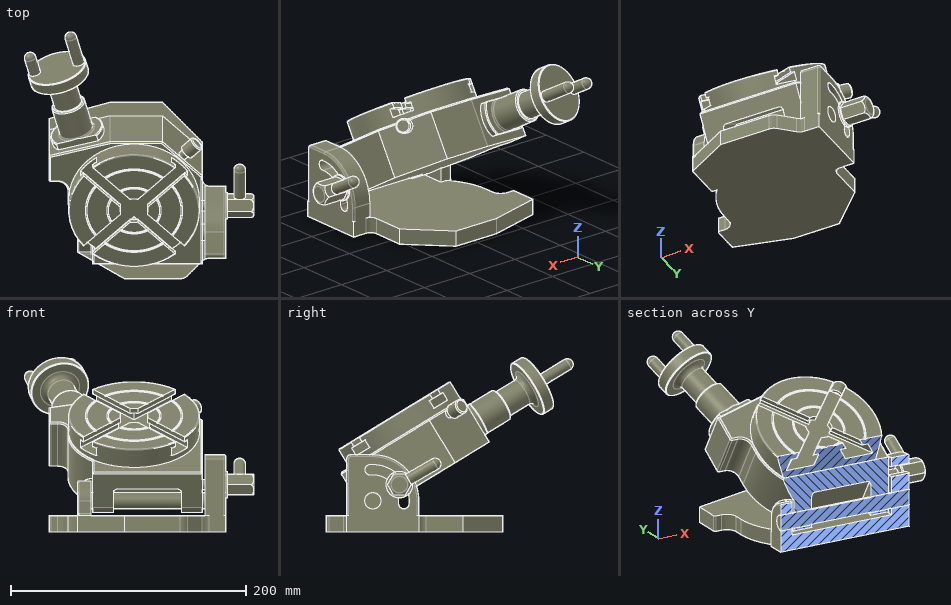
import cadquery as cq
import math

TILT = 31.35
HINGE_Z = 26.7
HINGE_RADIUS = 7.0

REAR_Y = 110.6
REAR_LEFT_X = -20.4
REAR_RIGHT_X = 24.1
LEFT_X = -72.2
RIGHT_X = 58.1
WORM_FACE_ANGLE = 15
BLOCK_FRONT_Y = 71.0
BLOCK_FILLET = 9.0
BLOCK_EDGE = 1.5
CENTER_Y = 53.3
TABLE_RADIUS = 55.6
WALL_RADIUS = 56.3

PLATE_TOP = 14.0
PLATE_FRONT_Y = -39.7
PLATE_FRONT_LEFT_X = -8.0
PLATE_CORNER = 8.8
LEFT_EAR_X = -47.9
LEFT_EAR_THICK = 11.3
LEFT_EAR_RADIUS = 17.0
LEFT_EAR_ROUND = 1.3
LEFT_EAR_FOOT = 1.7
RIGHT_EAR_X = 60.2
RIGHT_EAR_THICK = 17.8
RIGHT_EAR_RADIUS = 39.3
RIGHT_EAR_FRONT_Y = -22.3
RIGHT_EAR_CORNER = 3.5
RIGHT_EAR_ROUND = 1.7
EAR_REAR_FILLET = 6.0
SLOT_OVERRUN = 5

HOUSING_TOP = 34.6
HOUSING_BOTTOM = -8.8
HOUSING_FRONT_Y = -11.1
HOUSING_FRONT_X = -35.3
HOUSING_EDGE = 1.3
EAR_CLEARANCE_RADIUS = 18.9
NOTCH_LEFT_X = -17.5
NOTCH_RIGHT_X = 40.3
NOTCH_TOP = 18.5
NOTCH_REAR_Y = 12.5
NOTCH_CORNER = 3.5

TABLE_THICK = 17.8
T_SLOT_WIDTH = 11.3
T_SLOT_LIP = 4.8
T_SLOT_FOOT_WIDTH = 18.9
T_SLOT_DEPTH = 12.4
TABLE_BORE = 11.8
RING_RADII = (22.5, 40.7)
RING_WIDTH = 1.3
RING_DEPTH = 0.6
TABLE_EDGE = 0.6

WORM_X = -47.5
FLANGE_RADIUS = 22.9
FLANGE_HEIGHT = 29.4
FLANGE_END = 6.0
FLANGE_EDGE = 0.8
SLEEVE_RADIUS = 14.5
SLEEVE_END = 34.0
SLEEVE_CHAMFER = 1.0
SLEEVE_FILLET = 1.3
SHAFT_RADIUS = 12.0
WHEEL_START = 60.0
WHEEL_THICK = 10.5
WHEEL_RADIUS = 25.5
WHEEL_EDGE = 0.6
HUB_FILLET = 5.2
GRIP_RADIUS = 5.0
GRIP_OFFSET = 19.3
LONG_GRIP = 31.0
SHORT_GRIP = 20.4

CLAMP_Y = 26.5
CLAMP_RADIUS = 4.5
CLAMP_DEPTH = 16.8
WASHER_RADIUS = 11.3
WASHER_THICK = 1.5
HEX_CORNERS = 20.4
HEX_LENGTH = 22.7
HEX_END_ROUND = 3.1
LEVER_RADIUS = 5.0
LEVER_LENGTH = 40.0
LEVER_X = 89.8
LEVER_ANGLE = 30

SCREW_X = 41.0
SCREW_Z = 29.4
SCREW_NECK_RADIUS = 3.8
SCREW_NECK = 5.5
SCREW_HEAD_RADIUS = 6.3
SCREW_HEAD = 12.5
SCREW_EDGE = 1.0

REAR_RIGHT_CORNER_Y = REAR_Y - (RIGHT_X - REAR_RIGHT_X)
WORM_CORNER_Y = REAR_Y - (REAR_LEFT_X - LEFT_X) * math.tan(math.radians(WORM_FACE_ANGLE))
RIGHT_EAR_END = RIGHT_EAR_X + RIGHT_EAR_THICK
HOUSING_MIDDLE = (HOUSING_TOP + HOUSING_BOTTOM) / 2
BLOCK_INNER_X = -WALL_RADIUS


def arc_point(angle):
    """Point on the round left wall, at an angle from the table centre."""
    turn = math.radians(angle)
    return (WALL_RADIUS * math.cos(turn), CENTER_Y + WALL_RADIUS * math.sin(turn))


def rear_and_left_wall(sketch, wall_angle):
    """Continue an outline from the rear right corner round to the left wall's end."""
    mid_turn = math.radians(45)
    fillet_mid = (
        BLOCK_INNER_X - BLOCK_FILLET * (1 - math.cos(mid_turn)),
        BLOCK_FRONT_Y - BLOCK_FILLET * (1 - math.sin(mid_turn)),
    )
    return (
        sketch.lineTo(REAR_RIGHT_X, REAR_Y)
        .lineTo(REAR_LEFT_X, REAR_Y)
        .lineTo(LEFT_X, WORM_CORNER_Y)
        .lineTo(LEFT_X, BLOCK_FRONT_Y + BLOCK_EDGE)
        .tangentArcPoint((BLOCK_EDGE, -BLOCK_EDGE))
        .lineTo(BLOCK_INNER_X - BLOCK_FILLET, BLOCK_FRONT_Y)
        .threePointArc(fillet_mid, (BLOCK_INNER_X, BLOCK_FRONT_Y - BLOCK_FILLET))
        .lineTo(BLOCK_INNER_X, CENTER_Y)
        .threePointArc(arc_point((180 + wall_angle) / 2), arc_point(wall_angle))
    )


def along_x(start, end):
    """Workplane facing +X at one end of a span, with its local axes Y and Z."""
    return cq.Workplane("YZ", origin=(start, 0, 0)), end - start


def x_cylinder(radius, start, end, y=0, z=0):
    plane, length = along_x(start, end)
    return plane.center(y, z).circle(radius).extrude(length)


def domed_rod(plane, radius, length):
    """Round rod with a hemispherical tip."""
    return plane.circle(radius).extrude(length - radius).union(
        plane.workplane(offset=length - radius).sphere(radius)
    )


def tilted(body):
    return body.rotate((0, 0, 0), (1, 0, 0), TILT).translate((0, 0, HINGE_Z))


def base_plate(height):
    wall_drop = LEFT_EAR_RADIUS - CENTER_Y
    wall_angle = 180 + math.degrees(math.asin(-wall_drop / WALL_RADIUS))
    front_right_x = RIGHT_EAR_X - (RIGHT_EAR_FRONT_Y - PLATE_FRONT_Y)
    outline = cq.Workplane("XY").moveTo(RIGHT_X, REAR_RIGHT_CORNER_Y)
    outline = rear_and_left_wall(outline, wall_angle)
    plate = (
        outline.lineTo(LEFT_EAR_X, LEFT_EAR_RADIUS)
        .lineTo(LEFT_EAR_X, -LEFT_EAR_RADIUS)
        .lineTo(PLATE_FRONT_LEFT_X, PLATE_FRONT_Y)
        .lineTo(front_right_x, PLATE_FRONT_Y)
        .lineTo(RIGHT_EAR_X, RIGHT_EAR_FRONT_Y)
        .lineTo(RIGHT_EAR_END, RIGHT_EAR_FRONT_Y)
        .lineTo(RIGHT_EAR_END, RIGHT_EAR_RADIUS)
        .lineTo(RIGHT_X, RIGHT_EAR_RADIUS)
        .close()
        .extrude(height)
    )
    front_corners = [(front_right_x, PLATE_FRONT_Y), (RIGHT_EAR_X, RIGHT_EAR_FRONT_Y)]
    for corner in front_corners:
        plate = plate.edges(cq.selectors.NearestToPointSelector((*corner, height / 2))).fillet(PLATE_CORNER)
    ear_corner = (RIGHT_X, RIGHT_EAR_RADIUS, height / 2)
    return plate.edges(cq.selectors.NearestToPointSelector(ear_corner)).fillet(EAR_REAR_FILLET)


def left_ear():
    plane, thick = along_x(LEFT_EAR_X, LEFT_EAR_X + LEFT_EAR_THICK)
    return (
        plane.moveTo(-LEFT_EAR_RADIUS, 0)
        .lineTo(-LEFT_EAR_RADIUS, HINGE_Z)
        .threePointArc((0, HINGE_Z + LEFT_EAR_RADIUS), (LEFT_EAR_RADIUS, HINGE_Z))
        .lineTo(LEFT_EAR_RADIUS, 0)
        .close()
        .extrude(thick)
        .faces("<X").edges("not <Z").fillet(LEFT_EAR_ROUND)
    )


def left_ear_foot():
    """Concave fillet between the ear's front and the plate, kept within the plate's outline."""
    plane, thick = along_x(LEFT_EAR_X, LEFT_EAR_X + LEFT_EAR_THICK)
    top = PLATE_TOP + LEFT_EAR_FOOT
    strip = (
        plane.moveTo(-LEFT_EAR_RADIUS, 0)
        .lineTo(-LEFT_EAR_RADIUS, top)
        .radiusArc((-LEFT_EAR_RADIUS - LEFT_EAR_FOOT, PLATE_TOP), LEFT_EAR_FOOT)
        .lineTo(-LEFT_EAR_RADIUS - LEFT_EAR_FOOT, 0)
        .close()
        .extrude(thick)
    )
    return strip.intersect(base_plate(top))


def right_ear():
    plane, thick = along_x(RIGHT_EAR_X, RIGHT_EAR_END)
    top = HINGE_Z + RIGHT_EAR_RADIUS
    mid = RIGHT_EAR_RADIUS * math.sqrt(0.5)
    return (
        plane.moveTo(RIGHT_EAR_FRONT_Y, 0)
        .lineTo(RIGHT_EAR_FRONT_Y, top)
        .lineTo(0, top)
        .threePointArc((mid, HINGE_Z + mid), (RIGHT_EAR_RADIUS, HINGE_Z))
        .lineTo(RIGHT_EAR_RADIUS, 0)
        .close()
        .extrude(thick)
        .edges("|X and >Z and <Y").fillet(RIGHT_EAR_CORNER)
        .faces(">X").edges("not <Z").fillet(RIGHT_EAR_ROUND)
    )


def clamp_slot():
    """Arc slot round the hinge, from just below level to just past upright."""
    def point(radius, angle):
        turn = math.radians(angle)
        return (radius * math.cos(turn), HINGE_Z + radius * math.sin(turn))

    plane, thick = along_x(RIGHT_EAR_X, RIGHT_EAR_END)
    inner = CLAMP_Y - CLAMP_RADIUS
    outer = CLAMP_Y + CLAMP_RADIUS
    low = -SLOT_OVERRUN
    high = 90 + SLOT_OVERRUN
    slot = (
        plane.moveTo(*point(inner, low))
        .threePointArc(point(inner, 45), point(inner, high))
        .lineTo(*point(outer, high))
        .threePointArc(point(outer, 45), point(outer, low))
        .close()
        .extrude(thick)
    )
    for end in (low, high):
        slot = slot.union(x_cylinder(CLAMP_RADIUS, RIGHT_EAR_X, RIGHT_EAR_END, *point(CLAMP_Y, end)))
    return slot


def make_base():
    pin_bore = x_cylinder(HINGE_RADIUS, LEFT_EAR_X, RIGHT_EAR_END, z=HINGE_Z)
    body = base_plate(PLATE_TOP).union(left_ear()).union(left_ear_foot()).union(right_ear())
    return body.cut(pin_bore).cut(clamp_slot())


def hinge_notch():
    plane, width = along_x(NOTCH_LEFT_X, NOTCH_RIGHT_X)
    length = NOTCH_REAR_Y - HOUSING_FRONT_Y
    height = NOTCH_TOP - HOUSING_BOTTOM
    return (
        plane.center(HOUSING_FRONT_Y + length / 2, HOUSING_BOTTOM + height / 2)
        .rect(length, height)
        .extrude(width)
        .edges("|Y and >Z").fillet(NOTCH_CORNER)
    )


def make_housing():
    wall_angle = 180 + math.degrees(math.acos(-HOUSING_FRONT_X / WALL_RADIUS))
    outline = cq.Workplane("XY", origin=(0, 0, HOUSING_BOTTOM)).moveTo(RIGHT_X, REAR_RIGHT_CORNER_Y)
    body = (
        rear_and_left_wall(outline, wall_angle)
        .lineTo(HOUSING_FRONT_X, HOUSING_FRONT_Y)
        .lineTo(RIGHT_X, HOUSING_FRONT_Y)
        .close()
        .extrude(HOUSING_TOP - HOUSING_BOTTOM)
        .faces(">Z").edges().chamfer(HOUSING_EDGE)
        .edges("<Y and <Z").fillet(-HOUSING_BOTTOM)
    )
    ear_clearance = x_cylinder(EAR_CLEARANCE_RADIUS, LEFT_EAR_X, HOUSING_FRONT_X)
    pin_bore = x_cylinder(HINGE_RADIUS, HOUSING_FRONT_X, RIGHT_X)
    clamp_bore = x_cylinder(CLAMP_RADIUS, RIGHT_X - CLAMP_DEPTH, RIGHT_X, y=CLAMP_Y)
    return tilted(body.cut(hinge_notch()).cut(ear_clearance).cut(pin_bore).cut(clamp_bore))


def t_slot(angle, top):
    """Slot across the table's full width, turned about the table centre."""
    def bar(width, start_depth):
        plane = cq.Workplane("XY", origin=(0, CENTER_Y, top - start_depth))
        return plane.rect(2 * TABLE_RADIUS, width).extrude(start_depth - T_SLOT_DEPTH)

    slot = bar(T_SLOT_WIDTH, 0).union(bar(T_SLOT_FOOT_WIDTH, T_SLOT_LIP))
    return slot.rotate((0, CENTER_Y, 0), (0, CENTER_Y, 1), angle)


def make_table():
    top = HOUSING_TOP + TABLE_THICK
    top_plane = cq.Workplane("XY", origin=(0, CENTER_Y, top))
    body = (
        cq.Workplane("XY", origin=(0, CENTER_Y, HOUSING_TOP))
        .circle(TABLE_RADIUS)
        .extrude(TABLE_THICK)
        .faces(">Z").edges().fillet(TABLE_EDGE)
    )
    for radius in RING_RADII:
        ring = top_plane.circle(radius + RING_WIDTH / 2).circle(radius - RING_WIDTH / 2).extrude(-RING_DEPTH)
        body = body.cut(ring)
    body = body.cut(top_plane.circle(TABLE_BORE).extrude(-T_SLOT_DEPTH))
    for angle in (45, 135):
        body = body.cut(t_slot(angle, top))
    return tilted(body)


def make_worm_handle():
    """Flanged sleeve, shaft and handwheel with two grips, on the rear left face."""
    turn = math.radians(WORM_FACE_ANGLE)
    foot = (WORM_X, REAR_Y - (REAR_LEFT_X - WORM_X) * math.tan(turn), HOUSING_MIDDLE)
    face = cq.Workplane(cq.Plane(
        origin=foot,
        xDir=(math.cos(turn), math.sin(turn), 0),
        normal=(-math.sin(turn), math.cos(turn), 0),
    ))
    wheel_end = WHEEL_START + WHEEL_THICK
    profile_plane = cq.Workplane(cq.Plane(
        origin=foot, xDir=face.plane.xDir, normal=face.plane.xDir.cross(face.plane.zDir),
    ))
    turned = (
        profile_plane.lineTo(FLANGE_RADIUS, 0)
        .lineTo(FLANGE_RADIUS, FLANGE_END - FLANGE_EDGE)
        .lineTo(FLANGE_RADIUS - FLANGE_EDGE, FLANGE_END)
        .lineTo(SLEEVE_RADIUS + SLEEVE_FILLET, FLANGE_END)
        .radiusArc((SLEEVE_RADIUS, FLANGE_END + SLEEVE_FILLET), SLEEVE_FILLET)
        .lineTo(SLEEVE_RADIUS, SLEEVE_END - SLEEVE_CHAMFER)
        .lineTo(SLEEVE_RADIUS - SLEEVE_CHAMFER, SLEEVE_END)
        .lineTo(SHAFT_RADIUS, SLEEVE_END)
        .lineTo(SHAFT_RADIUS, WHEEL_START - HUB_FILLET)
        .radiusArc((SHAFT_RADIUS + HUB_FILLET, WHEEL_START), HUB_FILLET)
        .lineTo(WHEEL_RADIUS - WHEEL_EDGE, WHEEL_START)
        .lineTo(WHEEL_RADIUS, WHEEL_START + WHEEL_EDGE)
        .lineTo(WHEEL_RADIUS, wheel_end - WHEEL_EDGE)
        .lineTo(WHEEL_RADIUS - WHEEL_EDGE, wheel_end)
        .lineTo(0, wheel_end)
        .close()
        .revolve(360, (0, 0), (0, 1))
    )
    flange_zone = face.rect(2 * FLANGE_RADIUS, 2 * FLANGE_RADIUS).rect(2 * FLANGE_RADIUS, FLANGE_HEIGHT)
    body = turned.cut(flange_zone.extrude(FLANGE_END + SLEEVE_FILLET))
    for side, length in ((1, LONG_GRIP), (-1, SHORT_GRIP)):
        grip_plane = face.workplane(offset=wheel_end).center(side * GRIP_OFFSET, 0)
        body = body.union(domed_rod(grip_plane, GRIP_RADIUS, length))
    return tilted(body)


def make_hinge_pin():
    return x_cylinder(HINGE_RADIUS, LEFT_EAR_X, RIGHT_EAR_END, z=HINGE_Z)


def make_clamp():
    """Bolt with washer, hexagonal head and lever; modelled on the X axis."""
    bolt = x_cylinder(CLAMP_RADIUS, RIGHT_X - CLAMP_DEPTH, RIGHT_EAR_END)
    hex_start = RIGHT_EAR_END + WASHER_THICK
    hex_end = hex_start + HEX_LENGTH
    washer = x_cylinder(WASHER_RADIUS, RIGHT_EAR_END, hex_start)
    plane, length = along_x(hex_start, hex_end)
    head_limit = x_cylinder(HEX_CORNERS / 2, hex_start, hex_end).faces(">X").edges().fillet(HEX_END_ROUND)
    head = plane.polygon(6, HEX_CORNERS).extrude(length).intersect(head_limit)
    turn = math.radians(LEVER_ANGLE)
    lever_plane = cq.Workplane(cq.Plane(
        origin=(LEVER_X, 0, 0), xDir=(1, 0, 0), normal=(0, math.cos(turn), math.sin(turn)),
    ))
    lever = domed_rod(lever_plane, LEVER_RADIUS, LEVER_LENGTH)
    tilt = math.radians(TILT)
    axis = (0, CLAMP_Y * math.cos(tilt), HINGE_Z + CLAMP_Y * math.sin(tilt))
    return bolt.union(washer).union(head).union(lever).translate(axis)


def make_lock_screw():
    face_y = REAR_Y - (SCREW_X - REAR_RIGHT_X)
    face = cq.Workplane(cq.Plane(origin=(SCREW_X, face_y, SCREW_Z), xDir=(0, 0, 1), normal=(1, 1, 0)))
    neck = face.circle(SCREW_NECK_RADIUS).extrude(SCREW_NECK)
    head = (
        face.workplane(offset=SCREW_NECK).circle(SCREW_HEAD_RADIUS).extrude(SCREW_HEAD)
        .faces(cq.selectors.DirectionMinMaxSelector(face.plane.zDir)).edges().chamfer(SCREW_EDGE)
    )
    return tilted(neck.union(head))


base = make_base()
housing = make_housing()
table = make_table()
worm_handle = make_worm_handle()
hinge_pin = make_hinge_pin()
clamp = make_clamp()
lock_screw = make_lock_screw()

result = cq.Compound.makeCompound([
    base.val(),
    housing.val(),
    table.val(),
    worm_handle.val(),
    hinge_pin.val(),
    clamp.val(),
    lock_screw.val(),
])